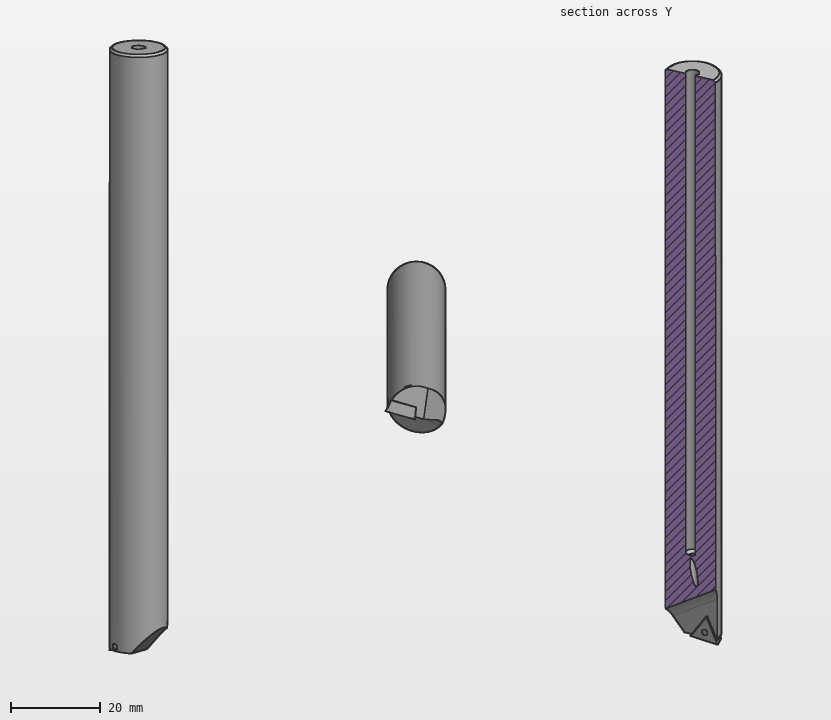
import cadquery as cq
import math

SHANK_RADIUS = 6.51
TOP_Z = 140.0
TOP_CHAMFER = 0.5

FLAT_Y = 0.4
RUNOUT_Z = 9.2
RUNOUT_SLOPE_X = -0.6
RUNOUT_SLOPE_Y = 0.9
RUNOUT_FILLET = 4.2

END_Z = 0.8
END_RELIEF_ANGLE = 5.0
BEVEL_START_X = 1.8
BEVEL_ANGLE = 50.0
BEVEL_RELIEF_ANGLE = 10.0

BORE_RADIUS = 1.5
BORE_END_Z = 21.0
BORE_POINT_ANGLE = 118.0
OUTLET_RADIUS = 0.7
OUTLET_X = -1.8
OUTLET_Y = 2.0

TIP_X = -6.93
INSERT_EDGE = 7.0
EDGE_LEAD_ANGLE = 5.0
TRIANGLE_ANGLE = 60.0
INSERT_THICKNESS = 2.7
INSERT_TOP_Y = 1.0
INSERT_RELIEF_ANGLE = 7.0

SCREW_RADIUS = 0.7
SCREW_TO_TIP = INSERT_EDGE / math.sqrt(3)
SCREW_DIRECTION = math.radians(EDGE_LEAD_ANGLE + TRIANGLE_ANGLE / 2)
SCREW_X = TIP_X + SCREW_TO_TIP * math.cos(SCREW_DIRECTION)
SCREW_Z = SCREW_TO_TIP * math.sin(SCREW_DIRECTION)
SCREW_END_Y = -4.8

REACH = 8 * SHANK_RADIUS


def tangent(degrees):
    return math.tan(math.radians(degrees))


def make_block_behind(point, normal):
    """A large block that lies on the plane through the point, on the normal's side."""
    plane = cq.Plane(origin=point, normal=normal)
    return cq.Workplane(plane).rect(REACH, REACH).extrude(REACH)


def make_y_cylinder(end_y):
    """A cylinder on the screw's axis, from the insert's top face to end_y."""
    start = cq.Workplane("XZ", origin=(SCREW_X, INSERT_TOP_Y, SCREW_Z))
    return start.circle(SCREW_RADIUS).extrude(INSERT_TOP_Y - end_y)


def make_insert_blank():
    """The insert without its screw hole, narrowing toward -Y."""
    outline = (
        cq.Workplane("XZ", origin=(TIP_X, INSERT_TOP_Y, 0))
        .polarLine(INSERT_EDGE, EDGE_LEAD_ANGLE)
        .polarLineTo(INSERT_EDGE, EDGE_LEAD_ANGLE + TRIANGLE_ANGLE)
        .close()
    )
    return outline.extrude(INSERT_THICKNESS, taper=INSERT_RELIEF_ANGLE)


def make_chip_pocket():
    """The space in front of the flat and below the run-out face."""
    runout_normal = (-RUNOUT_SLOPE_X, -RUNOUT_SLOPE_Y, 1)
    in_front = make_block_behind((0, FLAT_Y, 0), (0, 1, 0))
    above_runout = make_block_behind((0, 0, RUNOUT_Z), runout_normal)
    pocket = in_front.cut(above_runout)
    corner_z = RUNOUT_Z + RUNOUT_SLOPE_Y * FLAT_Y
    corner = cq.selectors.NearestToPointSelector((0, FLAT_Y, corner_z))
    return pocket.edges(corner).fillet(RUNOUT_FILLET)


def make_end_waste():
    """The space below the relieved end and outside the relieved bevel."""
    below_end = make_block_behind((0, FLAT_Y, END_Z), (0, -tangent(END_RELIEF_ANGLE), -1))
    outward = math.sin(math.radians(BEVEL_ANGLE))
    downward = math.cos(math.radians(BEVEL_ANGLE))
    bevel_normal = (outward, -tangent(BEVEL_RELIEF_ANGLE), -downward)
    outside_bevel = make_block_behind((BEVEL_START_X, FLAT_Y, END_Z), bevel_normal)
    return below_end.union(outside_bevel)


def make_coolant_channel():
    """A drilled bore with a conical bottom and a slanted outlet that starts there."""
    point_depth = BORE_RADIUS / tangent(BORE_POINT_ANGLE / 2)
    half_profile = [
        (0, TOP_Z),
        (BORE_RADIUS, TOP_Z),
        (BORE_RADIUS, BORE_END_Z),
        (0, BORE_END_Z - point_depth),
    ]
    bore = cq.Workplane("XZ").polyline(half_profile).close().revolve(360, (0, 0), (0, 1))
    outlet_z = RUNOUT_Z + RUNOUT_SLOPE_X * OUTLET_X + RUNOUT_SLOPE_Y * OUTLET_Y
    start = cq.Vector(0, 0, BORE_END_Z)
    path = cq.Vector(OUTLET_X, OUTLET_Y, outlet_z) - start
    length = path.Length + 2 * OUTLET_RADIUS
    outlet = cq.Solid.makeCylinder(OUTLET_RADIUS, length, start, path)
    return bore.union(cq.Workplane(outlet))


def make_shank():
    shank = cq.Workplane("XY").circle(SHANK_RADIUS).extrude(TOP_Z)
    shank = shank.faces(">Z").chamfer(TOP_CHAMFER)
    shank = shank.cut(make_chip_pocket()).cut(make_end_waste()).cut(make_coolant_channel())
    return shank.cut(make_insert_blank()).cut(make_y_cylinder(-REACH))


def make_insert():
    return make_insert_blank().cut(make_y_cylinder(-REACH))


def make_screw():
    return make_y_cylinder(SCREW_END_Y)


shank = make_shank()
insert = make_insert()
screw = make_screw()

result = cq.Compound.makeCompound([shank.val(), insert.val(), screw.val()])